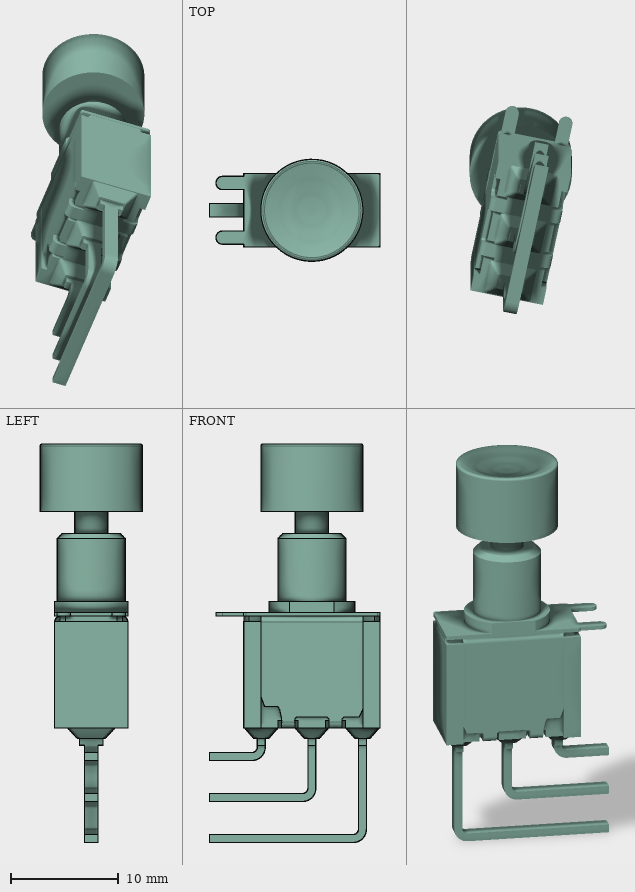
import cadquery as cq


CASE_LENGTH = 12.7
CASE_WIDTH = 6.86
CASE_HEIGHT = 9.9

LEAD_COUNT = 3
LEAD_PITCH = 4.7
LEAD_ROW_PITCH = 3.81
LEAD_THICKNESS = 0.76
LEAD_WIDTH = 1.27
LEAD_END_X = -9.53
LOWEST_LEAD_Z = -10.65
LEAD_BEND_RADIUS = 0.5
LEAD_SHOULDER_WIDTH = 2.2
LEAD_SHOULDER_BOTTOM = -1.6

BOOT_TOP_SIZE = (3.1, 4.4)
BOOT_BOTTOM_SIZE = (1.4, 2.6)
BOOT_HEIGHT = 0.97
BOOT_EDGE_RADIUS = 0.25

SHEET = 0.5
BEND_RADIUS = 0.55
SADDLE_WIDTH = 6.8
FLAP_LENGTH = 9.48
SADDLE_CORNER = 0.5
SADDLE_END_INSET = 0.03

LEFT_CORNER_Z = 2.93
LEFT_EDGE_Z = 2.0
RIGHT_CORNER_Z = 1.75
RIGHT_EDGE_Z = 1.02
CORNER_RUN = 0.35

TONGUE_WIDTH = 1.22
TONGUE_X = 2.2
TONGUE_TOP_Z = 0.85
TONGUE_FOOT = 1.0
TONGUE_EDGE_RUN = 0.17
NOTCH_WIDTH = 1.86
NOTCH_HEIGHT = 0.7

COLLAR_DIAMETER = 8.0
COLLAR_ACROSS_FLATS = 6.86
COLLAR_HEIGHT = 1.02
BUSHING_DIAMETER = 6.35
BUSHING_TOP = 18.1
BUSHING_CHAMFER = 0.5
PLUNGER_DIAMETER = 3.1

BRACKET_THICKNESS = 0.36
BRACKET_WIDTH = 6.86
BRACKET_CORNER_RADIUS = 0.25
BRACKET_TAB_WIDTH = 1.25
BRACKET_TAB_SPACING = 5.08
BRACKET_TAB_END_X = -8.92

CAP_DIAMETER = 9.5
CAP_BOTTOM = 20.1
CAP_TOP = 26.4
CAP_EDGE_RADIUS = 0.2
CAP_SOCKET_DEPTH = 3.0
DISH_DIAMETER = 8.8
DISH_DEPTH = 0.8

SADDLE_TOP = CASE_HEIGHT + SHEET
BRACKET_TOP = SADDLE_TOP + BRACKET_THICKNESS
PLUNGER_TOP = CAP_BOTTOM + CAP_SOCKET_DEPTH
FLAP_OUTER_Y = SADDLE_WIDTH / 2
FLAP_INNER_Y = FLAP_OUTER_Y - SHEET
SIDES = (-1, 1)


def block(x_range, y_range, z_range):
    """Box given by its limits along each axis."""
    sizes = [high - low for low, high in (x_range, y_range, z_range)]
    corner = (x_range[0], y_range[0], z_range[0])
    return cq.Workplane("XY").box(*sizes, centered=False).translate(corner)


def cylinder(diameter, bottom, top):
    return cq.Workplane("XY").workplane(offset=bottom).circle(diameter / 2).extrude(top - bottom)


def make_boot(x):
    """Tapered seal around the root of one lead."""
    return (
        cq.Workplane("XY")
        .center(x, 0)
        .rect(*BOOT_TOP_SIZE)
        .workplane(offset=-BOOT_HEIGHT)
        .rect(*BOOT_BOTTOM_SIZE)
        .loft()
        .edges("not #Z")
        .fillet(BOOT_EDGE_RADIUS)
    )


def make_lead(x, bottom):
    """Flat lead that drops from the case and bends toward -X."""
    left = x - LEAD_THICKNESS / 2
    right = x + LEAD_THICKNESS / 2
    top = bottom + LEAD_THICKNESS
    outer_radius = LEAD_BEND_RADIUS + LEAD_THICKNESS
    bent = (
        cq.Workplane("XZ")
        .moveTo(right, 0)
        .lineTo(right, bottom + outer_radius)
        .radiusArc((right - outer_radius, bottom), outer_radius)
        .lineTo(LEAD_END_X, bottom)
        .lineTo(LEAD_END_X, top)
        .lineTo(left - LEAD_BEND_RADIUS, top)
        .radiusArc((left, top + LEAD_BEND_RADIUS), -LEAD_BEND_RADIUS)
        .lineTo(left, 0)
        .close()
        .extrude(LEAD_WIDTH / 2, both=True)
    )
    half_shoulder = LEAD_SHOULDER_WIDTH / 2
    shoulder = block((left, right), (-half_shoulder, half_shoulder), (LEAD_SHOULDER_BOTTOM, 0))
    return bent.union(shoulder)


def make_case():
    case = cq.Workplane("XY").box(CASE_LENGTH, CASE_WIDTH, CASE_HEIGHT, centered=(True, True, False))
    for side in SIDES:
        y_range = sorted((side * FLAP_INNER_Y, side * CASE_WIDTH / 2))
        case = case.cut(block((-FLAP_LENGTH / 2, FLAP_LENGTH / 2), y_range, (0, CASE_HEIGHT)))
        y_range = sorted((side * (FLAP_INNER_Y - TONGUE_FOOT), side * FLAP_INNER_Y))
        for x in (-TONGUE_X, TONGUE_X):
            case = case.cut(block((x - NOTCH_WIDTH / 2, x + NOTCH_WIDTH / 2), y_range, (0, NOTCH_HEIGHT)))
    last_lead = LEAD_COUNT - 1
    for index in range(LEAD_COUNT):
        x = (index - last_lead / 2) * LEAD_PITCH
        bottom = LOWEST_LEAD_Z + (last_lead - index) * LEAD_ROW_PITCH
        case = case.union(make_boot(x)).union(make_lead(x, bottom))
    return case


def make_saddle():
    """Bent sheet: top plate, two flaps and tongues folded under the case."""
    half_length = FLAP_LENGTH / 2
    tongue_outer = TONGUE_X + TONGUE_WIDTH / 2
    tongue_inner = TONGUE_X - TONGUE_WIDTH / 2
    outline = [
        (-half_length, SADDLE_TOP),
        (-half_length, LEFT_CORNER_Z),
        (-half_length + CORNER_RUN, LEFT_EDGE_Z),
        (-tongue_outer - 2 * TONGUE_EDGE_RUN, LEFT_EDGE_Z),
        (-tongue_outer - TONGUE_EDGE_RUN, LEFT_EDGE_Z - 2 * TONGUE_EDGE_RUN),
        (-tongue_outer, TONGUE_TOP_Z),
        (-tongue_outer, 0),
        (-tongue_inner, 0),
        (-tongue_inner, TONGUE_TOP_Z),
        (-tongue_inner + TONGUE_EDGE_RUN, RIGHT_EDGE_Z),
        (tongue_inner - TONGUE_EDGE_RUN, RIGHT_EDGE_Z),
        (tongue_inner, TONGUE_TOP_Z),
        (tongue_inner, 0),
        (tongue_outer, 0),
        (tongue_outer, TONGUE_TOP_Z),
        (tongue_outer + TONGUE_EDGE_RUN, RIGHT_EDGE_Z),
        (half_length - CORNER_RUN, RIGHT_EDGE_Z),
        (half_length, RIGHT_CORNER_Z),
        (half_length, SADDLE_TOP),
    ]
    envelope = cq.Workplane("XZ").polyline(outline).close().extrude(SADDLE_WIDTH / 2, both=True)

    section = (
        cq.Workplane("XY")
        .box(FLAP_LENGTH, SADDLE_WIDTH, SADDLE_TOP, centered=(True, True, False))
        .edges("|X")
        .fillet(BEND_RADIUS)
    )
    inner_half = FLAP_INNER_Y
    foot_half = FLAP_INNER_Y - TONGUE_FOOT
    x_range = (-half_length, half_length)
    section = section.cut(block(x_range, (-inner_half, inner_half), (SHEET, CASE_HEIGHT)))
    section = section.cut(block(x_range, (-foot_half, foot_half), (0, SHEET)))

    top_plate = (
        cq.Workplane("XY")
        .workplane(offset=CASE_HEIGHT)
        .rect(CASE_LENGTH - 2 * SADDLE_END_INSET, 2 * FLAP_INNER_Y)
        .extrude(SHEET)
        .edges("|Z")
        .chamfer(SADDLE_CORNER)
    )
    return envelope.intersect(section).union(top_plate)


def make_stem():
    """Bushing with its two-flat collar above the bracket, and the plunger on top of it."""
    collar_top = BRACKET_TOP + COLLAR_HEIGHT
    half_flats = COLLAR_ACROSS_FLATS / 2
    half_collar = COLLAR_DIAMETER / 2
    flats = block((-half_collar, half_collar), (-half_flats, half_flats), (BRACKET_TOP, collar_top))
    collar = cylinder(COLLAR_DIAMETER, BRACKET_TOP, collar_top).intersect(flats)
    bushing = cylinder(BUSHING_DIAMETER, SADDLE_TOP, BUSHING_TOP).faces(">Z").chamfer(BUSHING_CHAMFER)
    plunger = cylinder(PLUNGER_DIAMETER, BUSHING_TOP, PLUNGER_TOP)
    return bushing.union(collar).union(plunger)


def make_switch():
    return make_case().union(make_saddle()).union(make_stem())


def make_bracket():
    """Thin plate over the saddle with two round-ended mounting tabs."""
    plate = (
        cq.Workplane("XY")
        .workplane(offset=SADDLE_TOP)
        .rect(CASE_LENGTH, BRACKET_WIDTH)
        .extrude(BRACKET_THICKNESS)
        .edges("|Z")
        .fillet(BRACKET_CORNER_RADIUS)
    )
    tip_x = BRACKET_TAB_END_X + BRACKET_TAB_WIDTH / 2
    for side in SIDES:
        y = side * BRACKET_TAB_SPACING / 2
        y_range = (y - BRACKET_TAB_WIDTH / 2, y + BRACKET_TAB_WIDTH / 2)
        tip = cylinder(BRACKET_TAB_WIDTH, SADDLE_TOP, BRACKET_TOP).translate((tip_x, y, 0))
        plate = plate.union(block((tip_x, 0), y_range, (SADDLE_TOP, BRACKET_TOP))).union(tip)
    return plate.cut(cylinder(BUSHING_DIAMETER, SADDLE_TOP, BRACKET_TOP))


def make_cap():
    cap = cylinder(CAP_DIAMETER, CAP_BOTTOM, CAP_TOP).faces(">Z").edges().fillet(CAP_EDGE_RADIUS)
    dish_radius = ((DISH_DIAMETER / 2) ** 2 + DISH_DEPTH**2) / (2 * DISH_DEPTH)
    dish_centre_z = CAP_TOP - DISH_DEPTH + dish_radius
    dish = cq.Workplane("XY").sphere(dish_radius).translate((0, 0, dish_centre_z))
    socket = cylinder(PLUNGER_DIAMETER, CAP_BOTTOM, PLUNGER_TOP)
    return cap.cut(dish).cut(socket)


switch = make_switch()
bracket = make_bracket()
cap = make_cap()

result = cq.Compound.makeCompound([*switch.solids().vals(), *bracket.solids().vals(), *cap.solids().vals()])